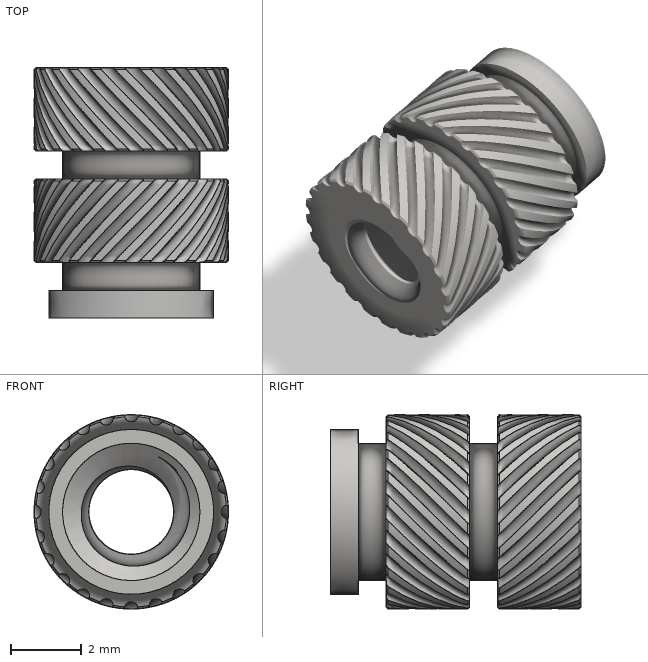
import cadquery as cq

LENGTH = 7.14
STEP = LENGTH / 9
NECK_RADIUS = 1.955
COLLAR_RADIUS = 2.35

BAND_RADIUS = 2.77
BAND_LENGTH = 3 * STEP
BAND_CHAMFER = 0.06
LOWER_BAND_START = 2 * STEP
UPPER_BAND_START = LENGTH - BAND_LENGTH
BAND_MIRROR_HEIGHT = (LOWER_BAND_START + UPPER_BAND_START + BAND_LENGTH) / 2
GROOVE_COUNT = 24
GROOVE_RADIUS = 0.2
GROOVE_TWIST = 48.6

CREST_RADIUS = 1.21
ROOT_RADIUS = 1.75
CREST_WIDTH = 0.09
ROOT_START_HEIGHT = 0.19
ROOT_START_ANGLE = -70.0
THREAD_TURNS = 11
CUTTER_OVERLAP = 0.035
TUBE_ALLOWANCE = 3 * STEP

COUNTERSINK_RADIUS = NECK_RADIUS

ORIGIN = (0, 0, 0)
AXIS_END = (0, 0, 1)


def cylinder(radius, start, length):
    return cq.Workplane("XY", origin=(0, 0, start)).circle(radius).extrude(length)


def thread_cutter():
    """Triangular profile swept along a helix that starts below the collar face."""
    depth = ROOT_RADIUS - CREST_RADIUS
    half_width_at_crest = (STEP - CREST_WIDTH) / 2
    base_half_width = half_width_at_crest * (depth + CUTTER_OVERLAP) / depth
    base_radius = CREST_RADIUS - CUTTER_OVERLAP
    helix = cq.Wire.makeHelix(STEP, THREAD_TURNS * STEP, CREST_RADIUS)
    return (
        cq.Workplane("XZ")
        .polyline([(base_radius, -base_half_width), (ROOT_RADIUS, 0), (base_radius, base_half_width)])
        .close()
        .sweep(cq.Workplane(obj=helix), isFrenet=True)
        .rotate(ORIGIN, AXIS_END, ROOT_START_ANGLE)
        .translate((0, 0, ROOT_START_HEIGHT - STEP))
    )


def threaded_tube():
    """Neck tube with thread and countersink, cut to length after threading."""
    raw_length = LENGTH + TUBE_ALLOWANCE
    tube = cylinder(NECK_RADIUS, 0, raw_length).cut(cylinder(CREST_RADIUS, 0, raw_length))
    countersink = cq.Solid.makeCone(COUNTERSINK_RADIUS, 0, COUNTERSINK_RADIUS)
    tube = tube.cut(thread_cutter()).cut(countersink)
    return tube.cut(cylinder(BAND_RADIUS, LENGTH, TUBE_ALLOWANCE))


def ring(outer_radius, start, length):
    """Ring that fits around the neck tube."""
    return cylinder(outer_radius, start, length).cut(cylinder(NECK_RADIUS, start, length))


def knurled_band():
    """Lower band: chamfered ring with helical grooves of round section in its rim."""
    groove = (
        cq.Workplane("XY", origin=(0, 0, LOWER_BAND_START))
        .moveTo(BAND_RADIUS, 0)
        .circle(GROOVE_RADIUS)
        .twistExtrude(BAND_LENGTH, GROOVE_TWIST)
        .val()
    )
    spacing = 360 / GROOVE_COUNT
    grooves = [groove.rotate(ORIGIN, AXIS_END, i * spacing) for i in range(GROOVE_COUNT)]
    rim_edges = cq.selectors.RadiusNthSelector(-1)
    band = ring(BAND_RADIUS, LOWER_BAND_START, BAND_LENGTH).edges(rim_edges).chamfer(BAND_CHAMFER)
    return band.cut(cq.Workplane(obj=cq.Compound.makeCompound(grooves)))


lower_band = knurled_band()
upper_band = lower_band.mirror("XY", (0, 0, BAND_MIRROR_HEIGHT))
collar = ring(COLLAR_RADIUS, 0, STEP)

insert = threaded_tube().union(collar).union(lower_band).union(upper_band)
result = insert.rotate(ORIGIN, (1, 0, 0), -90)